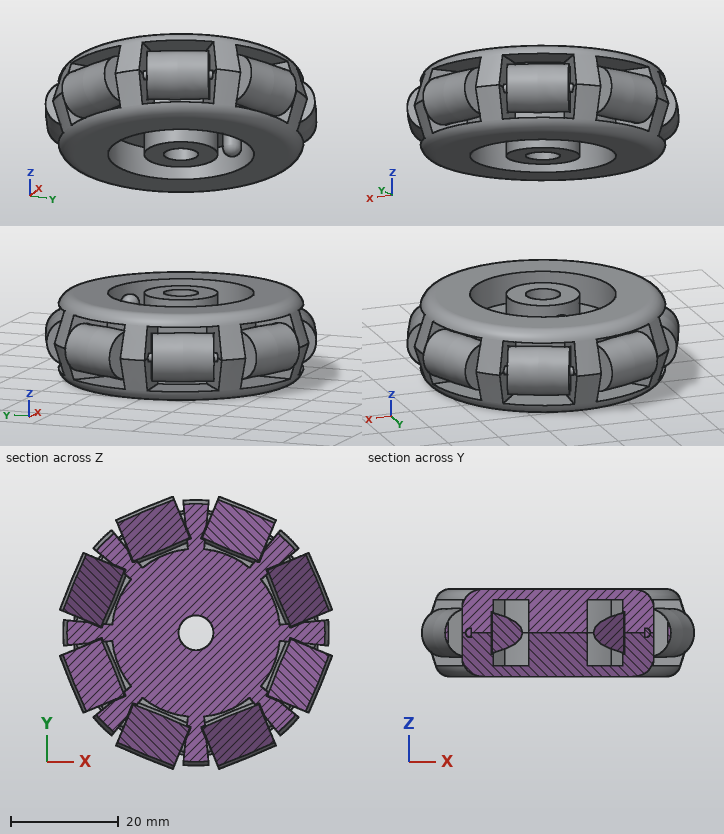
import cadquery as cq
import math

roller_count = 8
wheel_width = 16.35
half_height = wheel_width / 2
ridge_radius = 24.7
face_edge_radius = 22.15
rim_fillet = 2.85

recess_diameter = 27.15
recess_depth = 5.65
boss_diameter = 13.7
bore_diameter = 6.45
peg_diameter = 3.45
peg_offset = 10.2
peg_height = 4.65
peg_tip_flat = 0.2

window_width = 12.2
window_half_height = window_width / 2
window_floor_radius = 15.65
spoke_half_angle = 5.6

roller_mid_diameter = 9.1
roller_end_diameter = 8.9
roller_length = 11.45
roller_circle_diameter = 41.2
roller_axis_radius = roller_circle_diameter / 2
roller_clearance = 0.1
axle_diameter = 1.6
axle_length = 14.7

roller_pitch = 360 / roller_count
roller_angles = [roller_pitch * (index + 0.5) for index in range(roller_count)]


def place_roller(shape, angle):
    """Move a shape from the origin, axis along Y, to a roller seat at the given angle."""
    return shape.translate((roller_axis_radius, 0, 0)).rotate((0, 0, 0), (0, 0, 1), angle)


def make_barrel(growth=0.0):
    """Double cone along Y, enlarged on all sides by the growth."""
    half_length = roller_length / 2 + growth
    end_radius = roller_end_diameter / 2 + growth
    mid_radius = roller_mid_diameter / 2 + growth
    profile = (
        cq.Workplane("XY")
        .moveTo(0, -half_length)
        .lineTo(end_radius, -half_length)
        .lineTo(mid_radius, 0)
        .lineTo(end_radius, half_length)
        .lineTo(0, half_length)
        .close()
    )
    return profile.revolve(360, (0, 0, 0), (0, 1, 0))


def make_axle():
    """Axle along Y, centred on the roller."""
    return cq.Workplane("XZ").circle(axle_diameter / 2).extrude(axle_length / 2, both=True)


def make_roller():
    """Barrel and axle stubs as one body."""
    return make_barrel().union(make_axle())


def make_disc():
    """Half of the wheel above the mid-plane, with its rounded outer edge."""
    profile = (
        cq.Workplane("XZ")
        .lineTo(ridge_radius, 0)
        .lineTo(face_edge_radius, half_height)
        .lineTo(0, half_height)
        .close()
    )
    disc = profile.revolve(360, (0, 0, 0), (0, 1, 0))
    return disc.faces(">Z").edges().fillet(rim_fillet)


def make_hub_recess():
    """Ring-shaped recess around the boss, less the round-topped peg standing in it."""
    floor = half_height - recess_depth
    recess = (
        cq.Workplane("XY", origin=(0, 0, floor))
        .circle(recess_diameter / 2)
        .circle(boss_diameter / 2)
        .extrude(recess_depth)
    )
    peg = (
        cq.Workplane("XY", origin=(0, peg_offset, floor))
        .circle(peg_diameter / 2)
        .extrude(peg_height)
        .faces(">Z")
        .edges()
        .fillet((peg_diameter - peg_tip_flat) / 2)
    )
    return recess.cut(peg)


def make_window(angle):
    """Sector between two spokes, open to the rim and reaching in to the window floor."""
    half_angle = math.radians(roller_pitch / 2 - spoke_half_angle)
    outer_radius = 2 * ridge_radius
    floor_x = window_floor_radius * math.cos(half_angle)
    floor_y = window_floor_radius * math.sin(half_angle)
    outer_x = outer_radius * math.cos(half_angle)
    outer_y = outer_radius * math.sin(half_angle)
    return (
        cq.Workplane("XY")
        .moveTo(floor_x, -floor_y)
        .lineTo(outer_x, -outer_y)
        .lineTo(outer_x, outer_y)
        .lineTo(floor_x, floor_y)
        .threePointArc((window_floor_radius, 0), (floor_x, -floor_y))
        .close()
        .extrude(window_half_height)
        .rotate((0, 0, 0), (0, 0, 1), angle)
    )


def make_wheel_half():
    """Upper half of the wheel; its mating face is the mid-plane."""
    half = make_disc().cut(make_hub_recess())
    half = half.cut(cq.Workplane("XY").circle(bore_diameter / 2).extrude(half_height))
    roller_seat = make_barrel(roller_clearance).union(make_axle())
    for angle in roller_angles:
        half = half.cut(make_window(angle))
        half = half.cut(place_roller(roller_seat, angle))
    return half


upper_half = make_wheel_half()
lower_half = upper_half.mirror("XY")
rollers = [place_roller(make_roller(), angle) for angle in roller_angles]

result = cq.Compound.makeCompound(
    [upper_half.val(), lower_half.val(), *[roller.val() for roller in rollers]]
)